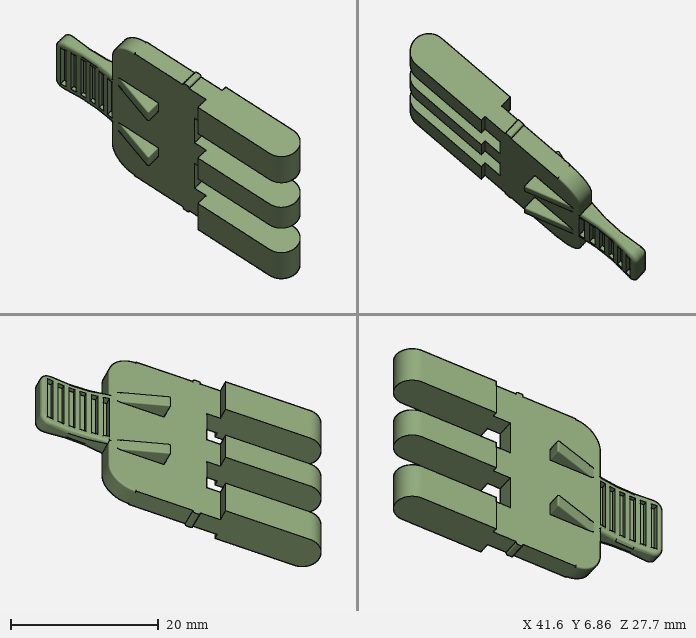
import cadquery as cq


PLATE_THICKNESS = 2.6
PLATE_HEIGHT = 26.9
PLATE_LENGTH = 14.5
PLATE_CORNER_RADIUS = 4.0
PLATE_EDGE_FILLET = 0.25

FINGER_END_X = 31.57
FINGER_FRONT_Y = -3.05
FINGER_BACK_Y = 2.05
FINGER_FRONT_STEP_X = 16.5
FINGER_BACK_STEP_X = 17.2
MIDDLE_FINGER_HEIGHT = 4.6
FINGER_GAP = 5.4

HANDLE_LENGTH = 10.0
HANDLE_HEIGHT = 10.0
HANDLE_END_THICKNESS = 2.6
HANDLE_WAIST_THICKNESS = 1.65
HANDLE_WAIST_X = -HANDLE_LENGTH / 2
HANDLE_CORNER_RADIUS = 1.5
HANDLE_EDGE_FILLET = 0.5

GROOVE_COUNT = 6
GROOVE_WIDTH = 0.87
GROOVE_PITCH = 1.65
GROOVE_HEIGHT = 7.9
GROOVE_FIRST_X = -9.05
GROOVE_WEB_THICKNESS = 0.6

WEDGE_START_X = 1.2
WEDGE_END_X = 8.2
WEDGE_SPAN_Y = 7.01
WEDGE_WIDTH = 2.0
WEDGE_OFFSET_Z = 4.95
WEDGE_EDGE_FILLET = 0.2

RIDGE_CENTER_X = 13.0
RIDGE_WIDTH = 1.1
RIDGE_HEIGHT = 0.4
RIDGE_FILLET = 0.3

HALF_THICKNESS = PLATE_THICKNESS / 2
HALF_HEIGHT = PLATE_HEIGHT / 2


def box(x_range, y_range, z_range):
    """Axis-aligned box given by its lower and upper limits on each axis."""
    ranges = (x_range, y_range, z_range)
    sizes = [upper - lower for lower, upper in ranges]
    corner = tuple(lower for lower, upper in ranges)
    return cq.Workplane("XY").box(*sizes, centered=False).translate(corner)


def make_plate():
    """Flat plate whose handle end has round corners and softened edges."""
    y_range = (-HALF_THICKNESS, HALF_THICKNESS)
    z_range = (-HALF_HEIGHT, HALF_HEIGHT)
    slab = box((0, PLATE_LENGTH), y_range, z_range)
    slab = slab.edges("<X and |Y").fillet(PLATE_CORNER_RADIUS)
    rounded_end = slab.intersect(box((0, PLATE_CORNER_RADIUS), y_range, z_range))
    rounded_end = rounded_end.edges("<X and |Z").fillet(PLATE_EDGE_FILLET)
    straight_part = box((PLATE_CORNER_RADIUS, PLATE_LENGTH), y_range, z_range)
    return rounded_end.union(straight_part)


def make_fingers():
    """Three thick prongs with full-round tips, stepped out from the plate faces."""
    tip_radius = (FINGER_BACK_Y - FINGER_FRONT_Y) / 2
    tip_start_x = FINGER_END_X - tip_radius
    tip_point = (FINGER_END_X, FINGER_BACK_Y - tip_radius)
    fingers = (
        cq.Workplane("XY")
        .moveTo(PLATE_LENGTH, -HALF_THICKNESS)
        .lineTo(FINGER_FRONT_STEP_X, -HALF_THICKNESS)
        .lineTo(FINGER_FRONT_STEP_X, FINGER_FRONT_Y)
        .lineTo(tip_start_x, FINGER_FRONT_Y)
        .threePointArc(tip_point, (tip_start_x, FINGER_BACK_Y))
        .lineTo(FINGER_BACK_STEP_X, FINGER_BACK_Y)
        .lineTo(FINGER_BACK_STEP_X, HALF_THICKNESS)
        .lineTo(PLATE_LENGTH, HALF_THICKNESS)
        .close()
        .extrude(HALF_HEIGHT, both=True)
    )
    gap_start = MIDDLE_FINGER_HEIGHT / 2
    gap_end = gap_start + FINGER_GAP
    for z_range in ((gap_start, gap_end), (-gap_end, -gap_start)):
        gap = box((PLATE_LENGTH, FINGER_END_X), (FINGER_FRONT_Y, FINGER_BACK_Y), z_range)
        fingers = fingers.cut(gap)
    return fingers


def make_handle():
    """Waisted grip tab, reaching just past the plate's softened edge."""
    half_end = HANDLE_END_THICKNESS / 2
    half_waist = HANDLE_WAIST_THICKNESS / 2
    tab = (
        cq.Workplane("XY")
        .moveTo(-HANDLE_LENGTH, -half_end)
        .threePointArc((HANDLE_WAIST_X, -half_waist), (0, -HALF_THICKNESS))
        .lineTo(PLATE_EDGE_FILLET, -HALF_THICKNESS)
        .lineTo(PLATE_EDGE_FILLET, HALF_THICKNESS)
        .lineTo(0, HALF_THICKNESS)
        .threePointArc((HANDLE_WAIST_X, half_waist), (-HANDLE_LENGTH, half_end))
        .close()
        .extrude(HANDLE_HEIGHT / 2, both=True)
    )
    tab = tab.edges("<X and |Y").fillet(HANDLE_CORNER_RADIUS)
    return tab.edges("<X and |Z").fillet(HANDLE_EDGE_FILLET)


def make_grooves():
    """Cutters for the rows of vertical grip grooves on both handle faces."""
    floor_y = GROOVE_WEB_THICKNESS / 2
    z_range = (-GROOVE_HEIGHT / 2, GROOVE_HEIGHT / 2)
    cutters = cq.Workplane("XY")
    for index in range(GROOVE_COUNT):
        left = GROOVE_FIRST_X + index * GROOVE_PITCH
        x_range = (left, left + GROOVE_WIDTH)
        for y_range in ((-HALF_THICKNESS, -floor_y), (floor_y, HALF_THICKNESS)):
            cutters = cutters.add(box(x_range, y_range, z_range))
    return cutters.combine()


def make_wedge_pair(center_z):
    """Ramp rising from each plate face toward the fingers, with softened edges."""
    start = (WEDGE_START_X, HALF_THICKNESS)
    peak = (WEDGE_END_X, WEDGE_SPAN_Y / 2)
    wedge = (
        cq.Workplane("XY")
        .polyline([(WEDGE_START_X, 0), start, peak, (WEDGE_END_X, 0)])
        .close()
        .extrude(WEDGE_WIDTH / 2, both=True)
    )
    end_edges = cq.selectors.StringSyntaxSelector(">X and (|Y or |Z)")
    ramp_edges = cq.selectors.StringSyntaxSelector("not(|X or |Y or |Z)")
    wedge = wedge.edges(end_edges + ramp_edges).fillet(WEDGE_EDGE_FILLET)
    wedge = wedge.translate((0, 0, center_z))
    return wedge.union(wedge.mirror("XZ"))


def make_ridge():
    """Small rounded rib across the top edge of the plate."""
    half_width = RIDGE_WIDTH / 2
    ridge = box(
        (RIDGE_CENTER_X - half_width, RIDGE_CENTER_X + half_width),
        (-HALF_THICKNESS, HALF_THICKNESS),
        (HALF_HEIGHT - RIDGE_HEIGHT, HALF_HEIGHT + RIDGE_HEIGHT),
    )
    return ridge.edges(">Z and |Y").fillet(RIDGE_FILLET)


top_ridge = make_ridge()
result = (
    make_plate()
    .union(make_fingers())
    .union(make_handle())
    .cut(make_grooves())
    .union(make_wedge_pair(WEDGE_OFFSET_Z))
    .union(make_wedge_pair(-WEDGE_OFFSET_Z))
    .union(top_ridge)
    .union(top_ridge.mirror("XY"))
)